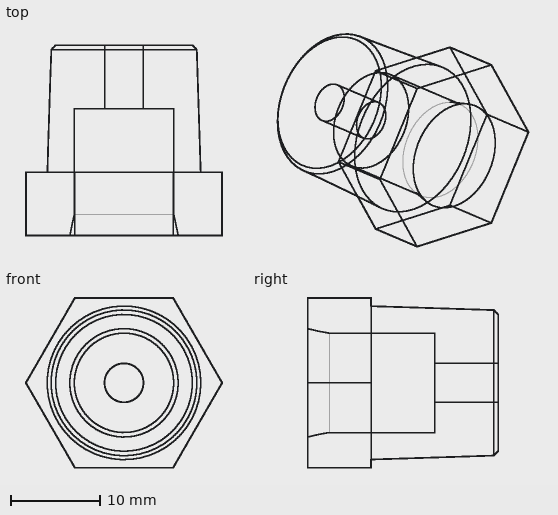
import cadquery as cq

hex_across_corners = 22.0
head_length = 7.1
overall_length = 21.35

shank_base_diameter = 17.2
shank_end_diameter = 16.32
end_chamfer = 0.5

mouth_diameter = 12.15
counterbore_diameter = 11.13
through_diameter = 4.33
mouth_depth = 2.42
counterbore_depth = 14.23


def revolve_about_y(points):
    """Revolve a closed (radius, y) outline about the Y axis."""
    return cq.Workplane("XY").polyline(points).close().revolve(360, (0, 0, 0), (0, 1, 0))


def make_head():
    return cq.Workplane("XZ").polygon(6, hex_across_corners).extrude(-head_length)


def make_shank():
    end_radius = shank_end_diameter / 2
    return revolve_about_y([
        (0, 0),
        (shank_base_diameter / 2, 0),
        (shank_base_diameter / 2, head_length),
        (end_radius, overall_length - end_chamfer),
        (end_radius - end_chamfer, overall_length),
        (0, overall_length),
    ])


def make_bore():
    return revolve_about_y([
        (0, 0),
        (mouth_diameter / 2, 0),
        (counterbore_diameter / 2, mouth_depth),
        (counterbore_diameter / 2, counterbore_depth),
        (through_diameter / 2, counterbore_depth),
        (through_diameter / 2, overall_length),
        (0, overall_length),
    ])


result = make_head().union(make_shank()).cut(make_bore())